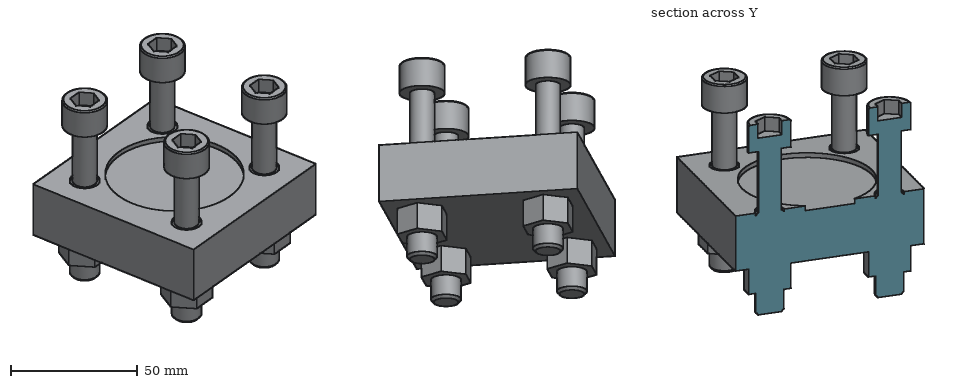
import cadquery as cq
import math

plate_side = 80.0
plate_thickness = 23.8
pocket_diameter = 55.0
pocket_depth = 2.0

bolt_spacing = 50.77
head_diameter = 18.0
head_height = 12.0
head_chamfer = 0.6
socket_width = 10.0
socket_depth = 6.0
shank_diameter = 9.85
shank_length = 26.0
thread_diameter = 12.0
thread_below_nut = 9.4
tip_taper_height = 1.2

nut_width = 18.0
nut_height = 10.8

bolt_tip_z = -nut_height - thread_below_nut
head_underside_z = plate_thickness + shank_length
head_top_z = head_underside_z + head_height

taper_width = (thread_diameter - shank_diameter) / 2
upper_taper_start_z = plate_thickness - taper_width

half_spacing = bolt_spacing / 2
bolt_positions = [(x, y) for x in (-half_spacing, half_spacing) for y in (-half_spacing, half_spacing)]


def cylinder(diameter, bottom_z, top_z):
    return cq.Workplane("XY").workplane(offset=bottom_z).circle(diameter / 2).extrude(top_z - bottom_z)


def hexagonal_prism(width_across_flats, bottom_z, top_z):
    """Hexagonal prism on the Z axis with two of its corners pointing along Y."""
    corner_diameter = width_across_flats / math.cos(math.radians(30))
    prism = cq.Workplane("XY").workplane(offset=bottom_z).polygon(6, corner_diameter).extrude(top_z - bottom_z)
    return prism.rotate((0, 0, 0), (0, 0, 1), 90)


def make_plate():
    """Square plate with its pocket and an open hole mouth around each upper thread taper."""
    plate = cq.Workplane("XY").box(plate_side, plate_side, plate_thickness, centered=(True, True, False))
    plate = plate.cut(cylinder(pocket_diameter, plate_thickness - pocket_depth, plate_thickness))
    hole_mouth = cylinder(thread_diameter, upper_taper_start_z, plate_thickness)
    for x, y in bolt_positions:
        plate = plate.cut(hole_mouth.translate((x, y, 0)))
    return plate


def make_head():
    head = cylinder(head_diameter, head_underside_z, head_top_z).faces(">Z").chamfer(head_chamfer)
    socket = hexagonal_prism(socket_width, head_top_z - socket_depth, head_top_z)
    return head.cut(socket)


def make_thread():
    """Plain cylinder standing for the thread, tapered at both ends."""
    thread = cylinder(thread_diameter, bolt_tip_z, plate_thickness)
    thread = thread.faces(">Z").chamfer(taper_width)
    return thread.faces("<Z").chamfer(tip_taper_height, taper_width)


def make_bolt_with_nut():
    """Bolt and nut on the Z axis."""
    shank = cylinder(shank_diameter, plate_thickness, head_underside_z)
    nut = hexagonal_prism(nut_width, -nut_height, 0)
    return make_thread().union(shank).union(make_head()).union(nut)


bolt_with_nut = make_bolt_with_nut()
result = make_plate()
for x, y in bolt_positions:
    result = result.union(bolt_with_nut.translate((x, y, 0)))